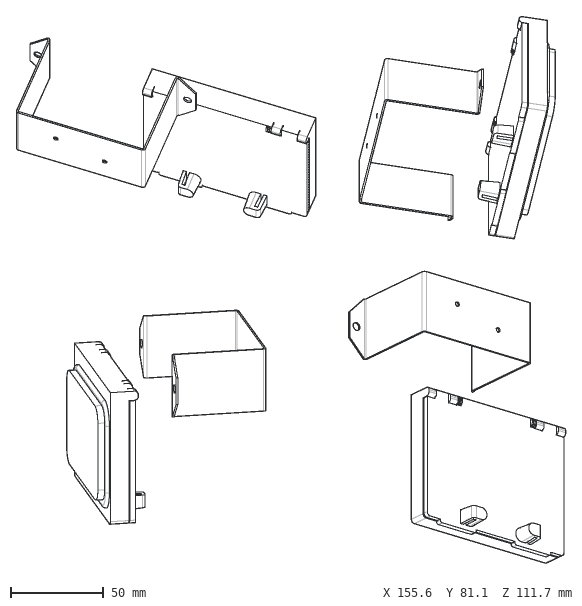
import cadquery as cq
import math


total_width = 155.6
case_width = 94.2
case_right = total_width
case_left = case_right - case_width
case_mid = (case_left + case_right) / 2
foot_height = 1.9
case_bottom = foot_height
case_top = 76.7
case_front = 61.5
case_depth = 14.0
case_back = case_front + case_depth
corner_radius = 2.0

plate_thickness = 3.3
gap_width = 0.39
gap_depth = 0.5

foot_width = 24.9
foot_offset = 25.7
foot_radius = 1.2

tab_width = 5.1
tab_height = 5.1
tab_reach = 1.48
tab_radius = 2.0
tab_slit = 0.23
inner_tab_inset = 15.0
tab_bottom = case_top - tab_height

rib_count = 3
rib_pitch = 0.96
rib_gap = 0.2
rib_root = 0.3

clip_spread = 48.2
clip_bottom = 2.8
clip_height = 8.1
clip_straight = 6.2
clip_reach = 10.6
clip_taper = 3.0
clip_tip_radius = 2.0
clip_leg = 1.9
clip_slot_width = 1.7
clip_slot_reach = 8.4

pad_side_margin = 2.3
pad_width = case_width - 2 * pad_side_margin
pad_bottom = 8.0
pad_height = 60.4
pad_rise = 1.9
pad_corner = 11.4
pad_radius = 1.7
pad_back = case_back + pad_rise

display_left = 67.5
display_width = 81.9
display_bottom = 12.6
display_height = 52.9
display_thickness = 3.7
display_corner = 7.6

sheet = 1.0
bend_radius = 0.6
bracket_span = 95.4
bracket_height = 35.0
bracket_depth = 52.1
wall_inset = 10.66
flange_end_height = 15.0
flange_hole_inset = 4.7
flange_hole_diameter = 4.5
web_hole_diameter = 2.5
web_hole_dx = 14.0
web_hole_dz = 3.97
bracket_bottom = case_top
bracket_mid_x = bracket_span / 2
bracket_mid_z = bracket_bottom + bracket_height / 2


def box_between(x, y, z):
    """Box given by its (low, high) limits along each axis."""
    size = (x[1] - x[0], y[1] - y[0], z[1] - z[0])
    return cq.Workplane("XY").box(*size, centered=False).translate((x[0], y[0], z[0]))


def both_sides(shape):
    """A shape on the left half of the case together with its mirror image on the right half."""
    return shape.union(shape.mirror("YZ", (case_mid, 0, 0)))


def rounded_slab(left, width, bottom, height, front, thickness, corner):
    """Upright slab with rounded corners, from `front` towards +Y."""
    return (
        box_between((left, left + width), (front, front + thickness), (bottom, bottom + height))
        .edges("|Y")
        .fillet(corner)
    )


def case_block():
    block = box_between((case_left, case_right), (case_front, case_back), (case_bottom, case_top))
    return block.edges("|Y and <Z").fillet(corner_radius)


def shadow_gap():
    """Shallow groove round the sides and the bottom of the case, up to the tabs."""
    limits_y = (case_front + plate_thickness, case_front + plate_thickness + gap_width)
    band = box_between((case_left, case_right), limits_y, (case_bottom, tab_bottom))
    core = box_between(
        (case_left + gap_depth, case_right - gap_depth),
        limits_y,
        (case_bottom + gap_depth, tab_bottom),
    ).edges("|Y and <Z").fillet(corner_radius - gap_depth)
    return band.cut(core)


def foot():
    centre = case_mid - foot_offset
    return box_between(
        (centre - foot_width / 2, centre + foot_width / 2),
        (case_front, case_front + plate_thickness),
        (0, case_bottom + foot_height),
    ).edges("|Y and <Z").fillet(foot_radius)


def tab(left):
    """Hinge tab with a rounded nose, rooted in the back plate."""
    nose = case_front - tab_reach
    root = case_front + plate_thickness
    return (
        box_between((left, left + tab_width), (nose, root), (tab_bottom, case_top))
        .edges("|X and <Y")
        .fillet(tab_radius)
    )


def notch(left, right):
    """Notch in the back plate that a tab stands in, with a slit below the tab."""
    limits_y = (case_front, case_front + plate_thickness)
    return box_between((left, right), limits_y, (tab_bottom - tab_slit, case_top))


def rib(left):
    """Thin rib with a nose rounded over its whole height."""
    nose = case_front - tab_reach
    return (
        cq.Workplane("YZ", origin=(left, 0, 0))
        .moveTo(case_front, case_top)
        .threePointArc((nose, case_top - tab_height / 2), (case_front, tab_bottom))
        .lineTo(case_front + rib_root, tab_bottom)
        .lineTo(case_front + rib_root, case_top)
        .close()
        .extrude(rib_pitch - rib_gap)
    )


def clip():
    """Tapered D-shaped post with a slot that leaves a springy leg on its flat side."""
    flat = case_mid - clip_spread / 2
    radius = clip_height / 2
    post = (
        cq.Workplane("XZ", origin=(flat, case_front, clip_bottom))
        .lineTo(clip_straight, 0)
        .threePointArc((clip_straight + radius, radius), (clip_straight, clip_height))
        .lineTo(0, clip_height)
        .close()
        .extrude(clip_reach, taper=clip_taper)
    )
    post = post.faces("<Y").edges("<X").fillet(clip_tip_radius)
    slot_shift = clip_slot_reach * math.tan(math.radians(clip_taper))
    slot_end = case_front - clip_slot_reach
    slot_near = flat + clip_leg
    slot = (
        cq.Workplane("XY", origin=(0, 0, clip_bottom))
        .moveTo(slot_near, case_front)
        .lineTo(slot_near + slot_shift, slot_end)
        .lineTo(slot_near + slot_shift + clip_slot_width, slot_end)
        .lineTo(slot_near + clip_slot_width, case_front)
        .close()
        .extrude(clip_height)
    )
    return post.cut(slot)


def pad():
    slab = rounded_slab(
        case_left + pad_side_margin, pad_width, pad_bottom, pad_height, case_back, pad_rise, pad_corner
    )
    return slab.faces(">Y").edges().fillet(pad_radius)


def make_enclosure():
    inner_tab_left = case_left + inner_tab_inset
    inner_tab_right = inner_tab_left + tab_width
    body = case_block().cut(shadow_gap())
    body = body.cut(both_sides(notch(case_left, case_left + tab_width + tab_slit)))
    body = body.cut(both_sides(notch(inner_tab_left - tab_slit, inner_tab_right + tab_slit)))
    for left in (case_left, inner_tab_left):
        body = body.union(both_sides(tab(left)))
    for index in range(rib_count):
        body = body.union(both_sides(rib(inner_tab_right + tab_slit + index * rib_pitch)))
    return body.union(both_sides(foot())).union(both_sides(clip())).union(pad())


def make_display():
    return rounded_slab(
        display_left,
        display_width,
        display_bottom,
        display_height,
        pad_back,
        display_thickness,
        display_corner,
    )


def bent_strip():
    """Hat-shaped strip of constant thickness, swept along its bent middle line."""
    wall_left = wall_inset + sheet / 2
    wall_right = bracket_span - wall_left
    web_y = sheet / 2
    flange_y = bracket_depth - sheet / 2
    corners = [
        (0, flange_y),
        (wall_left, flange_y),
        (wall_left, web_y),
        (wall_right, web_y),
        (wall_right, flange_y),
        (bracket_span, flange_y),
    ]
    path = cq.Wire.makePolygon([cq.Vector(x, y, bracket_mid_z) for x, y in corners])
    bends = [v for v in path.Vertices() if 0 < v.X < bracket_span]
    path = path.fillet2D(bend_radius + sheet / 2, bends)
    return (
        cq.Workplane("YZ", origin=(0, flange_y, bracket_mid_z))
        .rect(sheet, bracket_height)
        .sweep(cq.Workplane(path))
    )


def bracket_outline():
    """Front outline: a rectangle whose flange ends narrow at 45 degrees."""
    bevel = (bracket_height - flange_end_height) / 2
    return (
        cq.Workplane("XY")
        .box(bracket_span, bracket_depth, bracket_height)
        .edges("|Y")
        .chamfer(bevel)
        .translate((bracket_mid_x, bracket_depth / 2, bracket_mid_z))
    )


def hole(x, z, diameter):
    """Cylinder through the whole depth of the bracket."""
    return cq.Workplane("XZ", origin=(x, 0, z)).circle(diameter / 2).extrude(-bracket_depth)


def make_bracket():
    strip = bent_strip().intersect(bracket_outline())
    for side in (-1, 1):
        flange_x = bracket_mid_x + side * (bracket_mid_x - flange_hole_inset)
        strip = strip.cut(hole(flange_x, bracket_mid_z, flange_hole_diameter))
        web_x = bracket_mid_x + side * web_hole_dx
        web_z = bracket_mid_z - side * web_hole_dz
        strip = strip.cut(hole(web_x, web_z, web_hole_diameter))
    return strip


enclosure = make_enclosure()
display = make_display()
bracket = make_bracket()

result = cq.Compound.makeCompound([enclosure.val(), display.val(), bracket.val()])